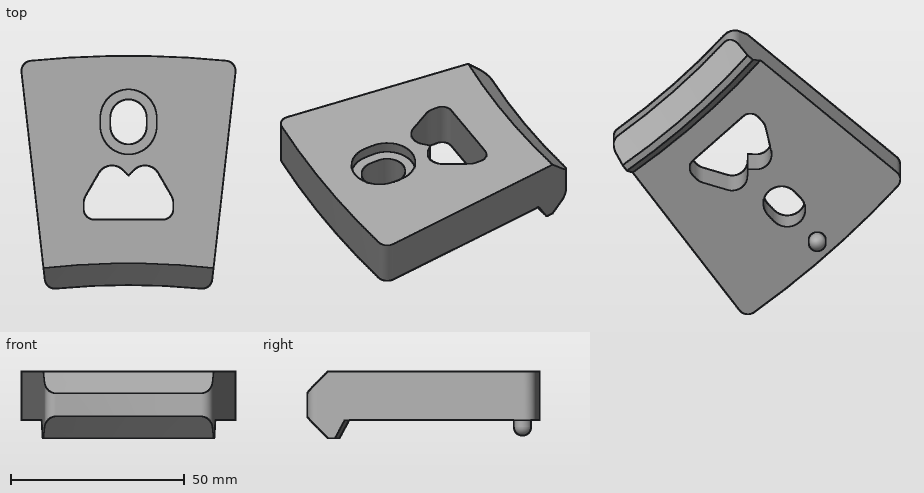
import cadquery as cq
import math

outer_radius = 278.9
radial_length = 65.9
inner_radius = outer_radius - radial_length
half_angle = math.radians(6.4)
corner_radius = 3.0

body_height = 14.0
lip_depth = 5.2
bevel = 6.3
lip_flat = 2.1
lip_back_run = 2.8

slot_y = outer_radius - 19.0
slot_center_spacing = 2.5
slot_width = 10.4
counterbore_width = 16.2
counterbore_depth = 3.5

window_half_width = 12.85
window_bottom_y = outer_radius - 47.0
shoulder_y = window_bottom_y + 5.8
notch_y = shoulder_y + 6.75
flank_angle = math.radians(60)
window_base_fillet = 3.0
window_upper_fillet = 4.4

pin_y = outer_radius - 5.1
pin_radius = 2.51
pin_straight_length = 2.0


def make_ring_profile():
    """Revolve the radial cross-section, with its bevels and lip, about Z."""
    lip_inner = inner_radius + bevel
    lip_outer = lip_inner + lip_flat
    section = (
        cq.Workplane("XZ")
        .moveTo(outer_radius, 0)
        .lineTo(outer_radius, body_height)
        .lineTo(inner_radius + bevel, body_height)
        .lineTo(inner_radius, body_height - bevel)
        .lineTo(inner_radius, bevel - lip_depth)
        .lineTo(lip_inner, -lip_depth)
        .lineTo(lip_outer, -lip_depth)
        .lineTo(lip_outer + lip_back_run, 0)
        .close()
    )
    sweep = 4 * math.degrees(half_angle)
    ring = section.revolve(sweep, (0, 0, 0), (0, 1, 0))
    return ring.rotate((0, 0, 0), (0, 0, 1), 90 - sweep / 2)


def make_wedge_outline():
    """Full-height wedge with rounded corners that bounds the segment."""
    def at(radius, angle):
        return radius * math.sin(angle), radius * math.cos(angle)

    return (
        cq.Workplane("XY")
        .workplane(offset=-lip_depth)
        .moveTo(*at(outer_radius, -half_angle))
        .threePointArc(at(outer_radius, 0), at(outer_radius, half_angle))
        .lineTo(*at(inner_radius, half_angle))
        .threePointArc(at(inner_radius, 0), at(inner_radius, -half_angle))
        .close()
        .extrude(body_height + lip_depth)
        .edges("|Z")
        .fillet(corner_radius)
    )


def make_slot(width, bottom, height):
    return (
        cq.Workplane("XY")
        .workplane(offset=bottom)
        .center(0, slot_y)
        .slot2D(slot_center_spacing + width, width, 90)
        .extrude(height)
    )


def make_window():
    """Window with sloping flanks and two round lobes meeting in a 45 degree notch."""
    flank_slope = math.tan(flank_angle)
    lobe_x = (shoulder_y - notch_y + window_half_width * flank_slope) / (1 + flank_slope)
    lobe_y = notch_y + lobe_x
    window = (
        cq.Workplane("XY")
        .polyline([
            (-window_half_width, window_bottom_y),
            (window_half_width, window_bottom_y),
            (window_half_width, shoulder_y),
            (lobe_x, lobe_y),
            (0, notch_y),
            (-lobe_x, lobe_y),
            (-window_half_width, shoulder_y),
        ])
        .close()
        .extrude(body_height)
    )
    window = window.edges("|Z").edges("<Y").fillet(window_base_fillet)
    for x, y in ((window_half_width, shoulder_y), (lobe_x, lobe_y)):
        for side in (-1, 1):
            corner = cq.selectors.NearestToPointSelector((side * x, y, body_height / 2))
            window = window.edges(corner).fillet(window_upper_fillet)
    return window


def make_pin():
    embedded_length = body_height / 4
    shank = (
        cq.Workplane("XY")
        .workplane(offset=-pin_straight_length)
        .center(0, pin_y)
        .circle(pin_radius)
        .extrude(pin_straight_length + embedded_length)
    )
    tip = cq.Workplane("XY").sphere(pin_radius).translate((0, pin_y, -pin_straight_length))
    return shank.union(tip)


result = (
    make_ring_profile()
    .intersect(make_wedge_outline())
    .cut(make_slot(slot_width, 0, body_height))
    .cut(make_slot(counterbore_width, body_height - counterbore_depth, counterbore_depth))
    .cut(make_window())
    .union(make_pin())
)